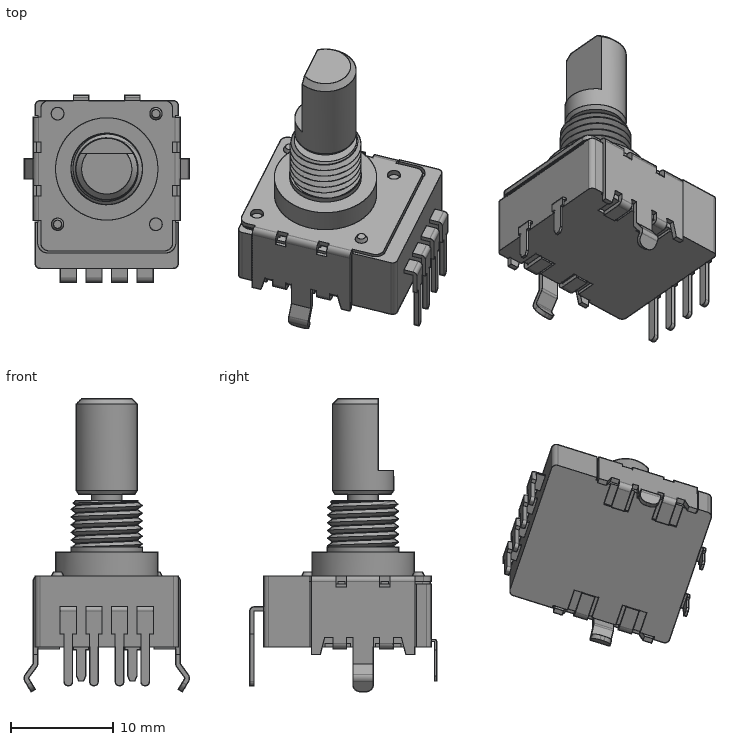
import cadquery as cq
import math


shaft_radius = 3.0
shaft_top = 17.3
shaft_bottom = 7.95
shaft_top_chamfer = 0.55
shaft_bottom_chamfer_height = 0.4
shaft_bottom_chamfer_width = 0.25
flat_distance = 1.5
flat_length = 7.0
neck_radius = 1.5

collar_radius = 5.0
collar_height = 2.3
thread_radius = 3.5
thread_root_radius = 3.04
thread_pitch = 0.75
thread_top = 7.33
thread_relief_top = 2.8
thread_top_chamfer = 0.45
ridge_half_width = 0.36
ridge_overlap = 0.04
ridge_crest_clearance = 0.02
helix_start = 1.735
helix_start_angle = 60
helix_turns = 8

body_half_width = 7.0
body_front = -9.72
body_back = 6.68
body_height = 6.97
body_corner_radius = 0.5

bracket_half_width = 7.2
bracket_half_length = 5.05
bracket_thickness = 0.47
bracket_bend_radius = 0.55
bracket_inner = bracket_half_width - bracket_thickness
side_gap = 0.15
cover_half_width = 6.44
cover_front = -8.0
cover_thickness = 0.55
cover_corner_radius = 0.8
cover_gap_side = 0.31
cover_gap_front = 0.2
back_step_depth = 0.8
back_step_inset = 0.1

bend_slot_inner = 1.6
bend_slot_outer = 2.63
bend_slot_depth = 1.1
bend_slot_floor_edge = 6.88
bend_slot_window_margin = 0.16
bend_slot_window_reach = 0.3

side_edge_z = -6.03
foot_bottom = -7.7
foot_bottom_width = 0.88
foot_top_width = 1.3
leg_half_width = 1.0

leg_knee_z = -8.6
leg_elbow_reach = 8.075
leg_elbow_inner_radius = 0.15
leg_out_angle = math.radians(36)
leg_in_angle = math.radians(31)
leg_tip_z = -11.34
leg_tip_radius = 0.8

tab_inner = 1.6
tab_outer = 2.95
tab_bottom = -7.17
tab_end = 4.6
tab_pocket_inner = 1.23
tab_pocket_outer = 3.72
tab_pocket_top = -6.6

stud_x = 4.8
stud_y = 5.4
stud_base_radius = 0.6
stud_top_radius = 0.4
stud_height = 0.37
hole_radius = 0.62

front_pin_pitch = 2.5
front_pin_count = 4
front_pin_y = -11.07
front_pin_top = -3.02
front_pin_thickness = 0.43
front_pin_wide = 1.6
front_pin_narrow = 0.85
front_pin_shoulder = -5.69
front_pin_tip = -10.74
front_pin_tip_radius = 0.4

back_pin_x = 2.5
back_pin_y = 7.2
back_pin_top = -6.2
back_pin_thickness = 0.24
back_pin_wide = 1.5
back_pin_narrow = 0.92
back_pin_shoulder = -7.24
back_pin_tip = -10.28
back_pin_tip_length = 0.5
back_pin_tip_inset = 0.22

pin_root_depth = 0.5
SIGNS = (-1, 1)


def block(x_range, y_range, z_range):
    """Box between two limits on each axis, given in either order."""
    spans = [sorted(limits) for limits in (x_range, y_range, z_range)]
    lengths = [high - low for low, high in spans]
    corner = [low for low, high in spans]
    return cq.Workplane("XY").box(*lengths, centered=False).translate(tuple(corner))


def revolve_profile(points):
    """Turn an (r, z) outline around the Z axis."""
    return cq.Workplane("XZ").polyline(points).close().revolve(360, (0, 0), (0, 1))


def make_shaft():
    bottom_radius = shaft_radius - shaft_bottom_chamfer_width
    shaft = revolve_profile([
        (0, 0),
        (neck_radius, 0),
        (neck_radius, shaft_bottom),
        (bottom_radius, shaft_bottom),
        (shaft_radius, shaft_bottom + shaft_bottom_chamfer_height),
        (shaft_radius, shaft_top - shaft_top_chamfer),
        (shaft_radius - shaft_top_chamfer, shaft_top),
        (0, shaft_top),
    ])
    return shaft.cut(block(
        (-shaft_radius, shaft_radius),
        (flat_distance, shaft_radius),
        (shaft_top - flat_length, shaft_top),
    ))


def thread_ridge():
    """Triangular helical ridge with its ends inside the collar and above the bushing."""
    root = thread_root_radius - ridge_overlap
    corners = [
        (root, -ridge_half_width),
        (thread_radius - ridge_crest_clearance, 0),
        (root, ridge_half_width),
    ]
    helices = []
    for radius, height in corners:
        helix = cq.Wire.makeHelix(thread_pitch, thread_pitch * helix_turns, radius)
        helices.append(helix.translate(cq.Vector(0, 0, helix_start + height)))
    faces = []
    for index, helix in enumerate(helices):
        faces.append(cq.Face.makeRuledSurface(helix, helices[index - 1]))
    for end in (0, 1):
        triangle = [helix.positionAt(end) for helix in helices]
        faces.append(cq.Face.makeFromWires(cq.Wire.makePolygon(triangle, close=True)))
    ridge = cq.Workplane(cq.Solid.makeSolid(cq.Shell.makeShell(faces)))
    return ridge.rotate((0, 0, 0), (0, 0, 1), helix_start_angle)


def make_thread():
    """Ridge trimmed to the chamfered top of the bushing and to the inside of the collar."""
    trim_radius = thread_radius + ridge_overlap
    trim_bottom = helix_start + ridge_half_width
    envelope = revolve_profile([
        (0, trim_bottom),
        (trim_radius, trim_bottom),
        (trim_radius, thread_top - trim_radius + thread_radius - thread_top_chamfer),
        (thread_radius - thread_top_chamfer, thread_top),
        (0, thread_top),
    ])
    return thread_ridge().intersect(envelope)


def make_bushing():
    threaded = cq.Workplane("XY").circle(thread_root_radius).extrude(thread_top).union(make_thread())
    collar = revolve_profile([
        (0, 0),
        (collar_radius, 0),
        (collar_radius, collar_height),
        (thread_radius, collar_height),
        (thread_radius, thread_relief_top),
        (0, thread_relief_top),
    ])
    return threaded.union(collar)


def cover_plate(half_width, front, thickness, radius):
    """Flat plate under the top face, reaching the back of the body, with rounded corners."""
    plate = block((-half_width, half_width), (front, body_back), (-thickness, 0))
    return plate.edges("|Z").fillet(radius)


def back_step():
    """Lowered top of the body around the back end of the cover, running slightly under it."""
    step = block(
        (-body_half_width, body_half_width), (bracket_half_length, body_back), (-back_step_depth, 0)
    )
    core = cover_plate(
        cover_half_width - back_step_inset,
        cover_front,
        back_step_depth,
        cover_corner_radius,
    )
    return step.cut(core.translate((0, -back_step_inset, 0)))


def make_body():
    body = block((-body_half_width, body_half_width), (body_front, body_back), (-body_height, 0))
    body = body.edges("|Z").fillet(body_corner_radius)
    recess_half_length = bracket_half_length + side_gap
    body = body.cut(cover_plate(
        cover_half_width + cover_gap_side,
        cover_front - cover_gap_front,
        cover_thickness,
        cover_corner_radius + cover_gap_front,
    ))
    body = body.cut(back_step())
    for side in SIGNS:
        x_outer = side * body_half_width
        x_inner = side * bracket_inner
        body = body.cut(block(
            (x_inner, x_outer), (-recess_half_length, recess_half_length), (-body_height, 0)
        ))
        for end in SIGNS:
            body = body.cut(block(
                (side * tab_end, x_outer),
                (end * tab_pocket_inner, end * tab_pocket_outer),
                (-body_height, tab_pocket_top),
            ))
    return body.union(cover_plate(cover_half_width, cover_front, cover_thickness, cover_corner_radius))


def side_outline():
    """Outline of one bracket side in the YZ plane, with its two feet."""
    half = bracket_half_length
    return [
        (-half, -bracket_bend_radius),
        (half, -bracket_bend_radius),
        (half, foot_bottom),
        (half - foot_bottom_width, foot_bottom),
        (half - foot_top_width, side_edge_z),
        (-half + foot_top_width, side_edge_z),
        (-half + foot_bottom_width, foot_bottom),
        (-half, foot_bottom),
    ]


def flat_point(vector):
    """The two in-plane coordinates of a vector."""
    return (vector.x, vector.y)


def make_leg():
    """Snap leg on +X: straight, leaning out below the knee, then back in to a rounded tip.

    The knee is sharp on the outer face of the bracket, and the elbow is round on both sides.
    """
    thickness = bracket_thickness
    inner_radius = leg_elbow_inner_radius
    outer_radius = inner_radius + thickness
    out_direction = cq.Vector(math.sin(leg_out_angle), -math.cos(leg_out_angle))
    out_normal = cq.Vector(math.cos(leg_out_angle), math.sin(leg_out_angle))
    in_direction = cq.Vector(-math.sin(leg_in_angle), -math.cos(leg_in_angle))
    in_normal = cq.Vector(math.cos(leg_in_angle), -math.sin(leg_in_angle))
    half_bend = leg_out_angle / 2

    knee = cq.Vector(bracket_half_width, leg_knee_z)
    knee_middle = knee - cq.Vector(math.cos(half_bend), math.sin(half_bend)) * thickness
    knee_end = knee - out_normal * thickness

    elbow_x = leg_elbow_reach - outer_radius
    out_length = (elbow_x + out_normal.x * outer_radius - knee.x) / out_direction.x
    elbow = knee + out_direction * out_length - out_normal * outer_radius

    outer_end = elbow + in_normal * outer_radius
    in_length = (leg_tip_z - outer_end.y) / in_direction.y
    tip_outer = outer_end + in_direction * in_length
    tip_inner = tip_outer - in_normal * thickness

    leg = (
        cq.Workplane("XZ")
        .moveTo(bracket_half_width, side_edge_z)
        .lineTo(*flat_point(knee))
        .lineTo(*flat_point(elbow + out_normal * outer_radius))
        .threePointArc((leg_elbow_reach, elbow.y), flat_point(outer_end))
        .lineTo(*flat_point(tip_outer))
        .lineTo(*flat_point(tip_inner))
        .lineTo(*flat_point(elbow + in_normal * inner_radius))
        .threePointArc((elbow.x + inner_radius, elbow.y), flat_point(elbow + out_normal * inner_radius))
        .lineTo(*flat_point(knee_end))
        .threePointArc(flat_point(knee_middle), (bracket_inner, knee.y))
        .lineTo(bracket_inner, side_edge_z)
        .close()
        .extrude(leg_half_width, both=True)
    )
    tip_middle = (tip_outer + tip_inner) / 2
    for end in SIGNS:
        corner = cq.selectors.NearestToPointSelector((tip_middle.x, end * leg_half_width, tip_middle.y))
        leg = leg.edges(corner).fillet(leg_tip_radius)
    return leg


def make_tab(end):
    """Tab folded inward under the body from the lower edge of the +X side."""
    y_range = (end * tab_inner, end * tab_outer)
    upright = block((bracket_inner, bracket_half_width), y_range, (tab_bottom, side_edge_z))
    fold = block((tab_end, bracket_half_width), y_range, (tab_bottom, tab_bottom + bracket_thickness))
    return upright.union(fold).edges("|Y and >X and <Z").fillet(bracket_bend_radius)


def make_bracket_side():
    """Bracket side on +X with its bend, feet, snap leg and folded tabs."""
    side = (
        cq.Workplane("YZ")
        .polyline(side_outline())
        .close()
        .extrude(bracket_thickness)
        .translate((bracket_inner, 0, 0))
    )
    bend = block(
        (cover_half_width, bracket_half_width),
        (-bracket_half_length, bracket_half_length),
        (-bracket_bend_radius, 0),
    )
    side = side.union(bend).edges("|Y and >X and >Z").fillet(bracket_bend_radius)
    side = side.union(make_leg())
    for end in SIGNS:
        side = side.union(make_tab(end))
    return side


def bend_slot(end):
    """Stepped opening through the +X bend, with a window reaching under the cover."""
    y_range = (end * bend_slot_inner, end * bend_slot_outer)
    upper = block((cover_half_width, bracket_half_width), y_range, (-back_step_depth, 0))
    lower = block((bend_slot_floor_edge, bracket_half_width), y_range, (-bend_slot_depth, 0))
    window = block(
        (cover_half_width - bend_slot_window_reach, cover_half_width),
        (
            end * (bend_slot_inner + bend_slot_window_margin),
            end * (bend_slot_outer - bend_slot_window_margin),
        ),
        (-back_step_depth, -cover_thickness),
    )
    return upper.union(lower).union(window)


def add_bracket(part):
    side = make_bracket_side()
    part = part.union(side).union(side.mirror("YZ"))
    for end in SIGNS:
        slot = bend_slot(end)
        part = part.cut(slot).cut(slot.mirror("YZ"))
    return part


def add_studs_and_holes(part):
    """Tapered studs on one diagonal of the cover and blind holes on the other."""
    stud = revolve_profile([
        (0, -cover_thickness),
        (stud_base_radius, -cover_thickness),
        (stud_base_radius, 0),
        (stud_top_radius, stud_height),
        (0, stud_height),
    ])
    hole = cq.Workplane("XY").circle(hole_radius).extrude(-cover_thickness)
    for side in SIGNS:
        part = part.union(stud.translate((side * stud_x, side * stud_y, 0)))
        part = part.cut(hole.translate((side * stud_x, -side * stud_y, 0)))
    return part


def make_pin(wall_y, outer_y, top, thickness, wide, narrow, shoulder, tip):
    """Pin at X = 0 leaving a body wall and bent down, with a narrower blade below the shoulder."""
    outward = math.copysign(1, outer_y)
    inner_y = outer_y - outward * thickness
    wide_range = (-wide / 2, wide / 2)
    arm = block(wide_range, (wall_y - outward * pin_root_depth, outer_y), (top - thickness, top))
    drop = block(wide_range, (inner_y, outer_y), (shoulder, top))
    blade = block((-narrow / 2, narrow / 2), (inner_y, outer_y), (tip, shoulder))
    outer_side = ">Y" if outward > 0 else "<Y"
    elbow = arm.union(drop).edges(f"|X and {outer_side} and >Z").fillet(thickness)
    return elbow, blade


def make_front_pin():
    elbow, blade = make_pin(
        body_front, front_pin_y, front_pin_top, front_pin_thickness,
        front_pin_wide, front_pin_narrow, front_pin_shoulder, front_pin_tip,
    )
    return elbow.union(blade.edges("|Y and <Z").fillet(front_pin_tip_radius))


def make_back_pin():
    elbow, blade = make_pin(
        body_back, back_pin_y, back_pin_top, back_pin_thickness,
        back_pin_wide, back_pin_narrow, back_pin_shoulder, back_pin_tip,
    )
    return elbow.union(blade.faces("<Z").edges("|Y").chamfer(back_pin_tip_length, back_pin_tip_inset))


def add_pins(part):
    front_pin = make_front_pin()
    for index in range(front_pin_count):
        x = front_pin_pitch * (index - (front_pin_count - 1) / 2)
        part = part.union(front_pin.translate((x, 0, 0)))
    back_pin = make_back_pin()
    for side in SIGNS:
        part = part.union(back_pin.translate((side * back_pin_x, 0, 0)))
    return part


housing = add_pins(add_studs_and_holes(add_bracket(make_body())))
result = housing.union(make_bushing()).union(make_shaft())